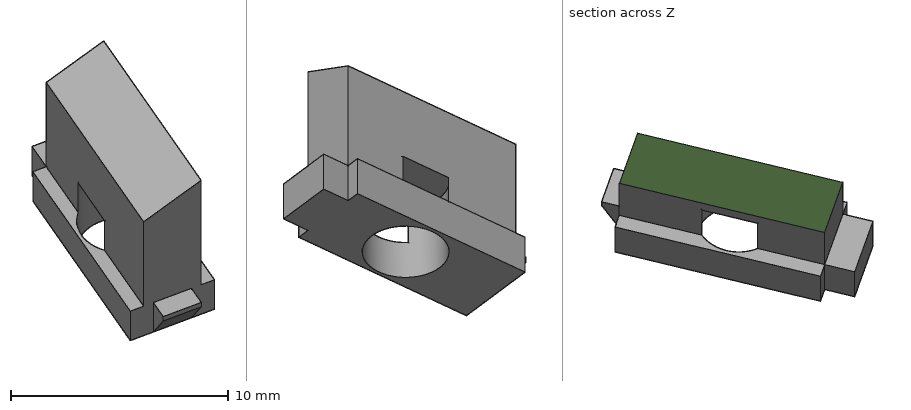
import cadquery as cq

total_length = 12.3
base_width = 4.35
total_height = 9.04

base_height = 1.99
block_width = 2.98
top_slope_drop = 1.35

tab_length = 1.44
hook_length = 1.0
hook_width = 1.97
hook_lip_height = 0.3
block_length = total_length - tab_length - hook_length

recess_diameter = 4.0
recess_depth = 2 * base_height
recess_from_tab_end = 6.0

block_start = tab_length
block_end = block_start + block_length


def make_base():
    """Flat rectangular foot under the upright block."""
    return cq.Workplane("XY").box(
        block_length, base_width, base_height, centered=(False, True, False)
    ).translate((block_start, 0, 0))


def make_block():
    """Upright block whose top slopes down toward -Y."""
    half_width = block_width / 2
    profile = [
        (-half_width, 0),
        (half_width, 0),
        (half_width, total_height),
        (-half_width, total_height - top_slope_drop),
    ]
    return cq.Workplane("YZ", origin=(block_start, 0, 0)).polyline(profile).close().extrude(block_length)


def make_tab():
    """Rectangular tab, as wide as the block, on the -X end."""
    return cq.Workplane("XY").box(
        tab_length, block_width, base_height, centered=(False, True, False)
    )


def make_hook():
    """Narrow catch on the +X end, tapered underneath below a short lip."""
    profile = [
        (block_end, 0),
        (total_length, base_height - hook_lip_height),
        (total_length, base_height),
        (block_end, base_height),
    ]
    return cq.Workplane("XZ").polyline(profile).close().extrude(hook_width / 2, both=True)


def make_recess():
    """Flat-topped round recess that breaks through both sides of the block."""
    return (
        cq.Workplane("XY")
        .center(recess_from_tab_end, 0)
        .circle(recess_diameter / 2)
        .extrude(recess_depth)
    )


result = (
    make_base()
    .union(make_block())
    .union(make_tab())
    .union(make_hook())
    .cut(make_recess())
)